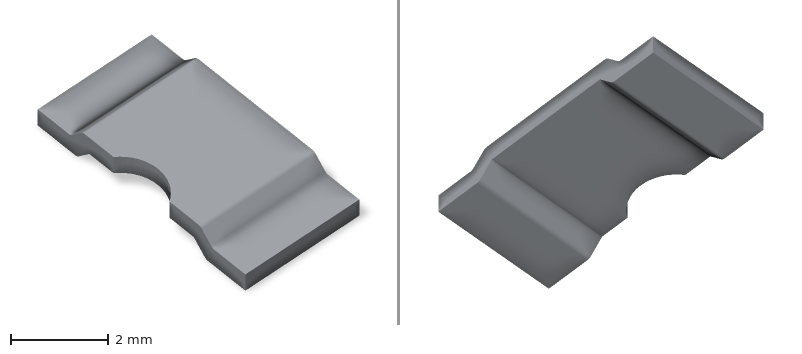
import cadquery as cq
import math

length = 6.35
width = 3.17
height = 0.86
thickness = 0.48

joint_x = 1.49

bend_angle = 45.0
ramp_top_x = 1.8
bend_radius = 0.14

notch_half_width = 0.86
notch_depth = 0.45

half_length = length / 2
plate_bottom = height - thickness
step = height - thickness
ramp_run = step / math.tan(math.radians(bend_angle))
ramp_foot_x = ramp_top_x + ramp_run
underside_shift = thickness * math.tan(math.radians(bend_angle / 2))
notch_radius = (notch_half_width**2 + notch_depth**2) / (2 * notch_depth)
notch_center_y = -width / 2 + notch_depth - notch_radius


def make_plate():
    """Flat raised plate with a circular notch in its -Y edge."""
    plate = cq.Workplane("XY").workplane(offset=plate_bottom)
    plate = plate.rect(2 * joint_x, width).extrude(thickness)
    notch = (
        cq.Workplane("XY")
        .workplane(offset=plate_bottom)
        .center(0, notch_center_y)
        .circle(notch_radius)
        .extrude(thickness)
    )
    return plate.cut(notch)


def make_terminal(side):
    """Bent terminal that steps down to a foot; side is -1 for -X, +1 for +X."""
    outline = [
        (joint_x, height),
        (ramp_top_x, height),
        (ramp_foot_x, thickness),
        (half_length, thickness),
        (half_length, 0),
        (ramp_foot_x - underside_shift, 0),
        (ramp_top_x - underside_shift, plate_bottom),
        (joint_x, plate_bottom),
    ]
    terminal = (
        cq.Workplane("XZ")
        .polyline([(side * x, z) for x, z in outline])
        .close()
        .extrude(width / 2, both=True)
    )
    rounded_corners = [
        (ramp_top_x, height),
        (ramp_foot_x, thickness),
        (ramp_foot_x - underside_shift, 0),
    ]
    for x, z in rounded_corners:
        bend_edge = cq.selectors.NearestToPointSelector((side * x, 0, z))
        terminal = terminal.edges(bend_edge).fillet(bend_radius)
    return terminal


plate = make_plate()
terminals = [make_terminal(side) for side in (-1, 1)]

result = cq.Compound.makeCompound([plate.val(), *[terminal.val() for terminal in terminals]])